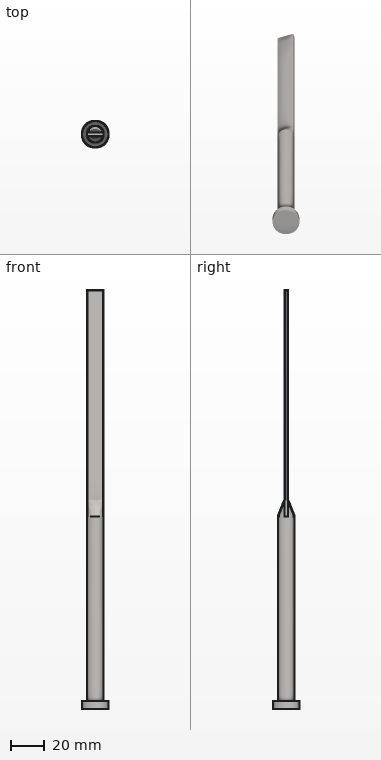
import cadquery as cq
import math

overall_length = 250.0
head_diameter = 16.0
head_thickness = 5.0
shank_diameter = 10.0
blade_length = 125.0
blade_thickness = 2.0
transition_length = 10.0

shank_radius = shank_diameter / 2
half_thickness = blade_thickness / 2
half_width = math.sqrt(shank_radius**2 - half_thickness**2)
blade_base_z = overall_length - blade_length
shank_top_z = blade_base_z - transition_length


def make_head():
    """Round head that seats the pin."""
    return cq.Workplane("XY").circle(head_diameter / 2).extrude(head_thickness)


def make_shank():
    """Round shank running from the bottom of the head to the transition."""
    return cq.Workplane("XY").circle(shank_radius).extrude(shank_top_z)


def make_transition():
    """Ruled taper from the shank circle, flat on both X sides, to the blade rectangle."""
    return (
        cq.Workplane("XY", origin=(0, 0, shank_top_z))
        .moveTo(-half_width, -half_thickness)
        .threePointArc((0, -shank_radius), (half_width, -half_thickness))
        .lineTo(half_width, half_thickness)
        .threePointArc((0, shank_radius), (-half_width, half_thickness))
        .close()
        .workplane(offset=transition_length)
        .moveTo(-half_width, -half_thickness)
        .lineTo(half_width, -half_thickness)
        .lineTo(half_width, half_thickness)
        .lineTo(-half_width, half_thickness)
        .close()
        .loft(ruled=True)
    )


def make_blade():
    """Flat rectangular blade, wide along X and thin along Y."""
    return (
        cq.Workplane("XY", origin=(0, 0, blade_base_z))
        .rect(2 * half_width, blade_thickness)
        .extrude(blade_length)
    )


result = make_head().union(make_shank()).union(make_transition()).union(make_blade())